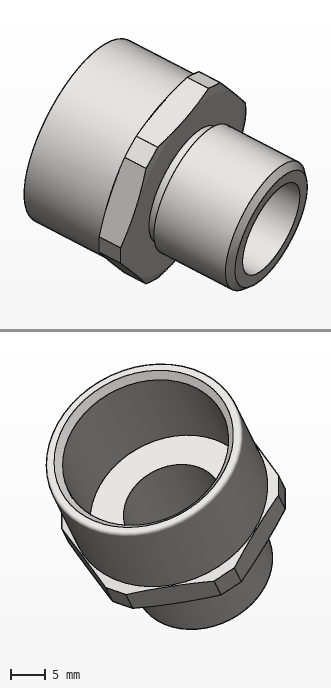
import cadquery as cq
import math

total_length = 33.5
socket_length = 14.0
nut_width = 4.5
neck_width = 1.5

socket_radius = 14.8
socket_edge_fillet = 0.5
neck_radius = 9.48
spigot_radius = 10.45
spigot_chamfer = 1.0

nut_across_flats = 30.0
nut_across_corners = 32.63
nut_chamfer_angle = 15.0
hexagon_half_angle = 30.0

bore_radius = 7.47
socket_bore_radius = 12.5
socket_bore_depth = 16.0
socket_bore_chamfer = 1.0

nut_end = socket_length + nut_width
neck_end = nut_end + neck_width


def cylinder(start, length, radius):
    """Cylinder along +X that begins at the given X position."""
    return cq.Workplane("YZ", origin=(start, 0, 0)).circle(radius).extrude(length)


def make_socket():
    return cylinder(0, socket_length, socket_radius).faces("<X").edges().fillet(socket_edge_fillet)


def make_spigot():
    neck = cylinder(nut_end, neck_width, neck_radius)
    spigot = cylinder(neck_end, total_length - neck_end, spigot_radius)
    return neck.union(spigot.faces(">X").edges().chamfer(spigot_chamfer))


def make_hexagon(across_flats, first_corner_angle):
    """Hexagonal prism over the nut width, with its first corner turned from +Y."""
    corner_diameter = across_flats / math.cos(math.radians(hexagon_half_angle))
    return (
        cq.Workplane("YZ", origin=(socket_length, 0, 0))
        .transformed(rotate=(0, 0, first_corner_angle))
        .polygon(6, corner_diameter)
        .extrude(nut_width)
    )


def make_nut():
    hexagon = make_hexagon(nut_across_flats, 0)
    corner_cutter = make_hexagon(nut_across_corners, hexagon_half_angle)

    face_radius = nut_across_flats / 2
    blank_radius = nut_across_corners / 2 / math.cos(math.radians(hexagon_half_angle))
    bevel = (blank_radius - face_radius) * math.tan(math.radians(nut_chamfer_angle))
    blank = (
        cq.Workplane("XY")
        .moveTo(socket_length, 0)
        .lineTo(socket_length, face_radius)
        .lineTo(socket_length + bevel, blank_radius)
        .lineTo(nut_end - bevel, blank_radius)
        .lineTo(nut_end, face_radius)
        .lineTo(nut_end, 0)
        .close()
        .revolve(360, (0, 0, 0), (1, 0, 0))
    )
    return hexagon.intersect(corner_cutter).intersect(blank)


def make_bore():
    """Stepped bore as one turned profile: chamfered mouth, socket bore, through hole."""
    mouth_radius = socket_bore_radius + socket_bore_chamfer
    return (
        cq.Workplane("XY")
        .lineTo(0, mouth_radius)
        .lineTo(socket_bore_chamfer, socket_bore_radius)
        .lineTo(socket_bore_depth, socket_bore_radius)
        .lineTo(socket_bore_depth, bore_radius)
        .lineTo(total_length, bore_radius)
        .lineTo(total_length, 0)
        .close()
        .revolve(360, (0, 0, 0), (1, 0, 0))
    )


result = make_socket().union(make_nut()).union(make_spigot()).cut(make_bore())